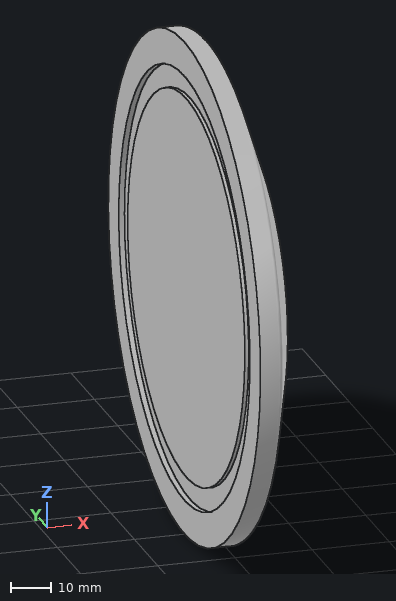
import cadquery as cq
import math

outer_diameter = 130.0
thickness = 14.0

back_face_diameter = 84.5
cone_angle = 20.0
rim_fillet_radius = 1.2

recess_depth = 0.5
groove_outer_diameter = 112.0
groove_inner_diameter = 100.0
groove_depth = 1.5


def make_blank():
    """Disc with a cylindrical rim and a conical back, revolved about X."""
    outer_radius = outer_diameter / 2
    back_radius = back_face_diameter / 2
    cone_height = (outer_radius - back_radius) * math.tan(math.radians(cone_angle))
    rim_width = thickness - cone_height
    half_profile = (
        cq.Workplane("XZ")
        .moveTo(0, 0)
        .lineTo(0, outer_radius)
        .lineTo(rim_width, outer_radius)
        .lineTo(thickness, back_radius)
        .lineTo(thickness, 0)
        .close()
    )
    return half_profile.revolve(360, (0, 0, 0), (1, 0, 0))


def round_rim(blank):
    """Round the edge where the cylindrical rim meets the cone."""
    rim_edges = blank.faces("%CYLINDER").edges("%CIRCLE").edges(">X")
    return rim_edges.fillet(rim_fillet_radius)


def make_recess():
    """Material removed from the flat face: the shallow recess and the ring groove at its edge."""
    recess = cq.Workplane("YZ").circle(groove_outer_diameter / 2).extrude(recess_depth)
    groove = (
        cq.Workplane("YZ")
        .circle(groove_outer_diameter / 2)
        .circle(groove_inner_diameter / 2)
        .extrude(groove_depth)
    )
    return recess.union(groove)


result = round_rim(make_blank()).cut(make_recess())